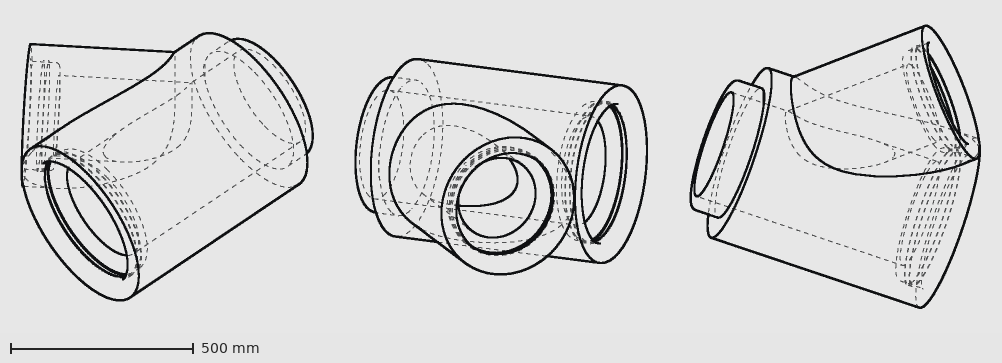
import cadquery as cq
import math

run_radius = 245.0
run_length = 610.0
run_bore_radius = 150.0
run_socket_radius = 192.0

spigot_radius = 187.0
spigot_length = 75.0
spigot_round = 10.0

branch_angle = 45.0
branch_radius = 195.0
branch_clearance = 2.0
branch_bore_radius = 113.5
branch_socket_radius = 148.0

socket_depth = 82.0
socket_round = 10.0
groove_start = 38.0
groove_width = 14.0
groove_depth = 4.0

branch_sine = math.sin(math.radians(branch_angle))
branch_cosine = math.cos(math.radians(branch_angle))
rim_to_branch_axis = branch_radius + branch_clearance
branch_face_center = (
    -run_radius - rim_to_branch_axis * branch_cosine,
    rim_to_branch_axis * branch_sine,
    0.0,
)
branch_length = -branch_face_center[0] / branch_sine

run_face = cq.Plane(origin=(0, 0, 0), xDir=(1, 0, 0), normal=(0, 1, 0))
branch_face = cq.Plane(
    origin=branch_face_center,
    xDir=(0, 0, 1),
    normal=(branch_sine, branch_cosine, 0),
)


def cylinder(face, radius, length):
    """Solid cylinder that starts on a pipe end face and follows the pipe axis."""
    return cq.Workplane(face).circle(radius).extrude(length)


def socket_cavity(face, radius):
    """Socket void: rounded mouth, straight wall with a seal groove, rounded floor corner."""
    arc_offset = socket_round * (1 - math.sqrt(0.5))
    floor_arc_depth = socket_depth - arc_offset
    groove_end = groove_start + groove_width
    groove_radius = radius + groove_depth
    profile = (
        cq.Workplane("XY")
        .moveTo(0, 0)
        .lineTo(radius + socket_round, 0)
        .threePointArc((radius + arc_offset, arc_offset), (radius, socket_round))
        .lineTo(radius, groove_start)
        .lineTo(groove_radius, groove_start)
        .lineTo(groove_radius, groove_end)
        .lineTo(radius, groove_end)
        .lineTo(radius, socket_depth - socket_round)
        .threePointArc((radius - arc_offset, floor_arc_depth), (radius - socket_round, socket_depth))
        .lineTo(0, socket_depth)
        .close()
    )
    cavity = profile.revolve(360, (0, 0, 0), (0, 1, 0)).rotate((0, 0, 0), (1, 0, 0), 90)
    return cq.Workplane(cavity.val().moved(cq.Location(face)))


def spigot():
    """Spigot beyond the run, with a rounded leading edge."""
    body = cylinder(run_face, spigot_radius, run_length + spigot_length)
    return body.faces(">Y").edges().fillet(spigot_round)


outer_body = (
    cylinder(run_face, run_radius, run_length)
    .union(spigot())
    .union(cylinder(branch_face, branch_radius, branch_length))
)

result = (
    outer_body
    .cut(cylinder(run_face, run_bore_radius, run_length + spigot_length))
    .cut(cylinder(branch_face, branch_bore_radius, branch_length))
    .cut(socket_cavity(run_face, run_socket_radius))
    .cut(socket_cavity(branch_face, branch_socket_radius))
)